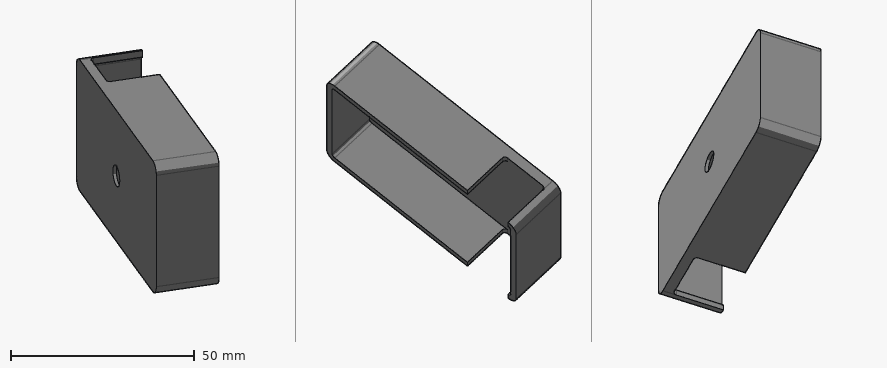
import cadquery as cq

length = 70.0
depth = 18.0
height = 40.0
corner_radius = 3.0

wall = 2.0
plate_thickness = 3.0
inner_corner_radius = corner_radius - wall

hole_diameter = 6.0
hole_chamfer = 2.0

notch_start = corner_radius
notch_width = 15.0
notch_floor = plate_thickness
notch_corner_radius = 1.0


def rounded_block(size_x, size_z, radius, front, back):
    """Block between two Y positions with its Y-parallel edges rounded."""
    return (
        cq.Workplane("XY")
        .box(size_x, back - front, size_z)
        .edges("|Y")
        .fillet(radius)
        .translate((0, (front + back) / 2, 0))
    )


def center_hole():
    hole_radius = hole_diameter / 2
    straight_depth = plate_thickness - hole_chamfer
    return (
        cq.Workplane("XY")
        .moveTo(0, 0)
        .lineTo(hole_radius, 0)
        .lineTo(hole_radius, straight_depth)
        .lineTo(hole_radius + hole_chamfer, plate_thickness)
        .lineTo(0, plate_thickness)
        .close()
        .revolve(360, (0, 0, 0), (0, 1, 0))
    )


def wall_notch():
    notch_depth = depth - notch_floor
    notch_center = -length / 2 + notch_start + notch_width / 2
    return (
        cq.Workplane("XY")
        .box(notch_width, notch_depth, height)
        .edges("|Z and <Y")
        .fillet(notch_corner_radius)
        .translate((notch_center, notch_floor + notch_depth / 2, 0))
    )


outer = rounded_block(length, height, corner_radius, 0, depth)
cavity = rounded_block(
    length - 2 * wall, height - 2 * wall, inner_corner_radius, plate_thickness, depth
)

result = outer.cut(cavity).cut(center_hole()).cut(wall_notch())